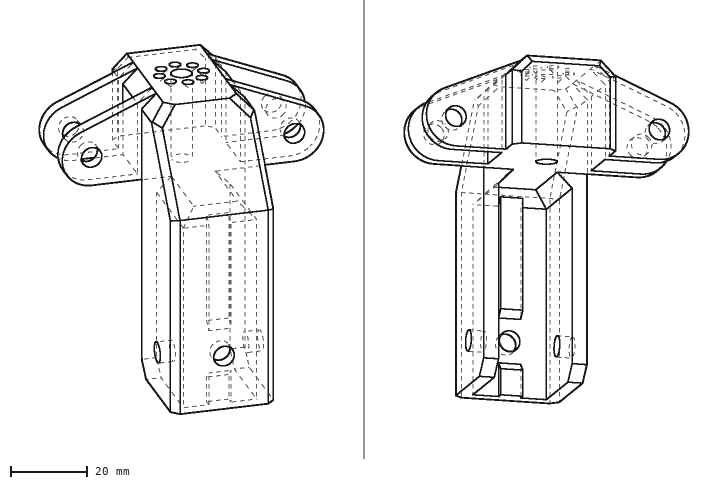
import cadquery as cq
import math

length = 57.5
height = 79.0
width = 28.0
head_height = 24.0
column_depth = 28.45
slope_run = 20.0
wall = 4.0
large_chamfer = wall
small_chamfer = wall / 2
head_bottom = height - head_height
column_front = length - column_depth
slope_start = length - slope_run

lug_thickness = 4.0
lug_front_faces = (7.9, column_front - lug_thickness)
lug_radius = 8.0
overall_width = 71.0
lug_hole_y = overall_width / 2 - lug_radius
lug_hole_z = head_bottom + lug_radius

hole_diameter = 5.5
top_hole_x = 18.5
side_hole_x = 43.5
side_hole_z = 12.0
back_hole_z = 15.0
dimple_count = 8
dimple_circle_radius = 6.0
dimple_radius = 1.5
dimple_depth = 1.5

rib_width = 6.0
rib_depth = small_chamfer
rib_gap = 6.0


def make_block():
    """L-shaped block with a sloped back and beveled outer edges."""
    outline = [
        (0, head_bottom),
        (0, height),
        (slope_start, height),
        (length, head_bottom),
        (length, 0),
        (column_front, 0),
        (column_front, head_bottom),
    ]
    block = cq.Workplane("XZ").polyline(outline).close().extrude(width / 2, both=True)
    block = block.faces(">Z").edges("|X").chamfer(large_chamfer)

    block = block.faces("<X").edges("not <Z").chamfer(small_chamfer)

    slope_normal = cq.Vector(head_height, 0, slope_run)
    slope_edges = block.faces(cq.selectors.DirectionMinMaxSelector(slope_normal)).edges("not |Y")
    back_edges = block.faces(">X").edges("|Z")
    return slope_edges.add(back_edges).chamfer(small_chamfer)


def make_cavity():
    """Space between the column walls, beveled around its ceiling except at the open front."""
    cavity = (
        cq.Workplane("XY")
        .box(column_depth - wall, width - 2 * wall, head_bottom, centered=(False, True, False))
        .translate((column_front, 0, 0))
    )
    return cavity.faces(">Z").edges("not <X").chamfer(large_chamfer)


def make_rib(bottom, top, bottom_bevel, top_bevel):
    """Rib on the inner back face; each end bevel slopes back to the wall."""
    back = length - wall
    outline = [
        (back, bottom),
        (back - rib_depth, bottom + bottom_bevel),
        (back - rib_depth, top - top_bevel),
        (back, top),
    ]
    return cq.Workplane("XZ").polyline(outline).close().extrude(rib_width / 2, both=True)


def make_lug_pair(front_x):
    """Plate across the head with a rounded eye at each end."""
    shoulder_y = width / 2 - large_chamfer
    run = lug_hole_y - shoulder_y
    drop = height - lug_hole_z
    to_shoulder = math.atan2(drop, -run)
    tangent_angle = to_shoulder - math.acos(lug_radius / math.hypot(run, drop))
    middle_angle = (tangent_angle - math.pi / 2) / 2

    def on_eye(angle, side):
        y = lug_hole_y + lug_radius * math.cos(angle)
        return side * y, lug_hole_z + lug_radius * math.sin(angle)

    plate = (
        cq.Workplane("YZ", origin=(front_x, 0, 0))
        .moveTo(-shoulder_y, height)
        .lineTo(shoulder_y, height)
        .lineTo(*on_eye(tangent_angle, 1))
        .threePointArc(on_eye(middle_angle, 1), (lug_hole_y, head_bottom))
        .lineTo(-lug_hole_y, head_bottom)
        .threePointArc(on_eye(middle_angle, -1), on_eye(tangent_angle, -1))
        .close()
        .extrude(lug_thickness)
    )
    eye_holes = (
        cq.Workplane("YZ", origin=(front_x, 0, 0))
        .pushPoints([(-lug_hole_y, lug_hole_z), (lug_hole_y, lug_hole_z)])
        .circle(hole_diameter / 2)
        .extrude(lug_thickness)
    )
    return plate.cut(eye_holes)


def make_dimple(angle):
    """Conical dimple in the top face at an angle around the top hole."""
    x = top_hole_x + dimple_circle_radius * math.cos(angle)
    y = dimple_circle_radius * math.sin(angle)
    cone = cq.Solid.makeCone(
        dimple_radius, 0, dimple_depth, pnt=cq.Vector(x, y, height), dir=cq.Vector(0, 0, -1)
    )
    return cq.Workplane(cone)


body = make_block().cut(make_cavity())

corner = [
    (column_front, 0),
    (column_front + large_chamfer, 0),
    (column_front, large_chamfer),
]
body = body.cut(cq.Workplane("XZ").polyline(corner).close().extrude(width, both=True))

body = body.union(make_rib(back_hole_z + rib_gap, head_bottom, rib_depth, 0))
body = body.union(make_rib(0, back_hole_z - rib_gap, 0, rib_depth))

for front_face in lug_front_faces:
    body = body.union(make_lug_pair(front_face))

hole_radius = hole_diameter / 2
top_hole = (
    cq.Workplane("XY", origin=(top_hole_x, 0, head_bottom)).circle(hole_radius).extrude(head_height)
)
side_holes = (
    cq.Workplane("XZ", origin=(side_hole_x, 0, side_hole_z)).circle(hole_radius).extrude(width, both=True)
)
back_hole = (
    cq.Workplane("YZ", origin=(column_front, 0, back_hole_z)).circle(hole_radius).extrude(column_depth)
)

body = body.cut(top_hole).cut(side_holes).cut(back_hole)

for index in range(dimple_count):
    body = body.cut(make_dimple(2 * math.pi * index / dimple_count))

result = body